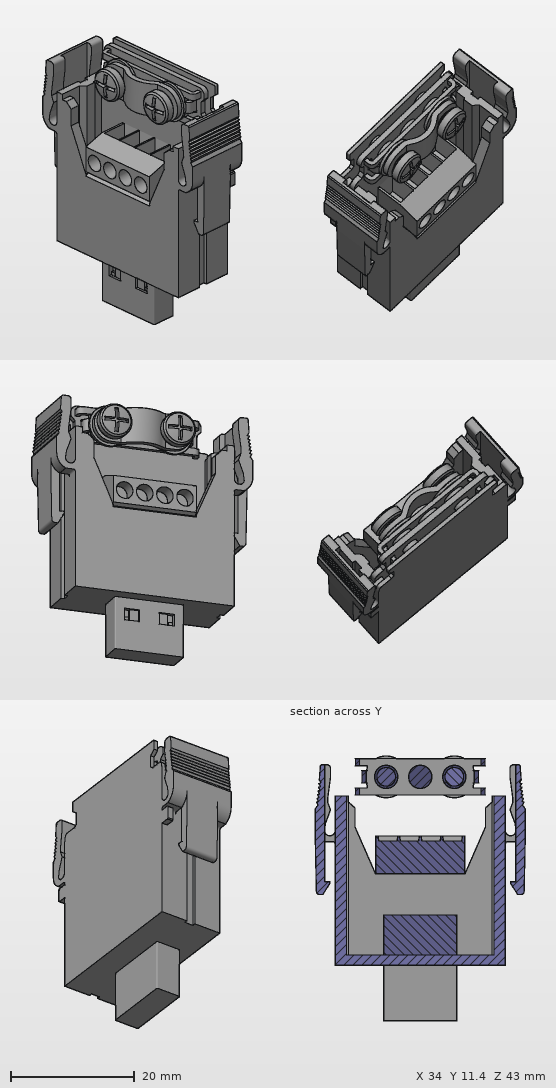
import cadquery as cq
import math

TOTAL_HEIGHT = 43.05
TOTAL_WIDTH = 34.0
DEPTH = 11.4
HALF_DEPTH = DEPTH / 2
CUT_MARGIN = 0.45

HOUSING_WIDTH = 27.55
HOUSING_BASE = 8.95
HOUSING_TOP = 36.45
FLOOR_THICKNESS = 1.72
BACK_WALL = 0.7
FRONT_WALL = 1.75
HALF_HOUSING = HOUSING_WIDTH / 2
BACK_WALL_FACE = HALF_DEPTH - BACK_WALL
FRONT_WALL_FACE = -HALF_DEPTH + FRONT_WALL
FLOOR_TOP = HOUSING_BASE + FLOOR_THICKNESS
CAVITY_BACK_HALF = 11.93
CAVITY_REAR_HALF = 11.7
CAVITY_MIDDLE_HALF = 11.63
CAVITY_FRONT_HALF = 12.55
BOARD_GROOVE_BACK = 4.0
CAVITY_STEP_Y = 0.95
CAVITY_FLARE_Y = (-0.85, -1.7)
SIDE_GROOVE_WIDTH = 1.55
SIDE_GROOVE_DEPTH = 0.55

HEAD_HALF = 11.55
NECK_HALF = 10.55
HEAD_BASE = 41.25
NECK_TOP = 40.48
NECK_BASE = 38.32
SHOULDER_TOP = 37.95
NECK_SPREAD = 0.5
SHOULDER_TAPER = 0.25
SHOULDER_RADIUS = 0.5
HEAD_ROUNDING = 0.2

WINDOW_STEP_Z = 35.45
WINDOW_SHOULDER_Z = 34.45
WINDOW_WAIST_Z = 31.4
WINDOW_BASE = 23.75
LEDGE_DROP = 0.4
LEDGE_DEPTH = 0.6

LATCH_OUTER = TOTAL_WIDTH / 2
LATCH_TOP = 41.45
LATCH_GRIP_OUTER = 16.2
LATCH_GRIP_INNER = 14.5
GRIP_STRAIGHT_BASE = 39.4
LATCH_TIP_RADIUS = 0.6
LATCH_TIP_CHAMFER = 0.2
TOOTH_COUNT = 7
TOOTH_PITCH = 0.6
TOOTH_HEIGHT = 0.47
FIRST_TOOTH_TIP = 39.0
FIRST_TIP_OUT = 16.35
FIRST_ROOT_OUT = 16.05
TIP_SHIFT = 0.075
ROOT_SHIFT = 0.1
TEETH_BASE = 34.3
WAIST_INNER = 14.95
WAIST_TOP = 36.15
WAIST_BASE = 35.3
BULGE_Z = 34.15
ARM_UPPER = 29.95
ARM_LOWER = 29.0
ARM_BEND_TOP = 31.4
ARM_BEND_MIDDLE = (16.55, 29.9)
ARM_FILLET = 0.4
THROAT_INNER = 14.6
THROAT_OUTER = 15.5
THROAT_SIDE_TOP = 30.75
THROAT_FLARE = (15.35, 31.95)
TONGUE_WIDTH = 6.03
TONGUE_INNER = 15.45
HOOK_INNER = 14.65
HOOK_TOP = 22.5
HOOK_BASE = 20.4
HOOK_LIP = 0.3
TONGUE_TIP_OUTER = 16.85
TONGUE_TIP_INNER = 15.75
TONGUE_TIP_RADIUS = 0.55
STUD_DEPTH = 1.05
STUD_BASE = 25.92
STUD_HEIGHT = 2.5
STUD_ROUNDING = 0.17

BOARD_FRONT = 2.8
BOARD_THICKNESS = 0.95
BOARD_BACK = BOARD_FRONT + BOARD_THICKNESS
BOARD_HALF = 12.9
BOARD_GROOVE_HALF = 13.35
BOARD_HEAD_HALF = 11.3
BOARD_SHOULDER_TOP = 37.65
BOARD_CORNER = 1.1
BOARD_SLOT_HEIGHT = 2.8
BOARD_SLOT_OUTER = 9.55
BOARD_SLOT_INNER = 8.6
BOARD_SLOT_ROUNDING = 0.35

BLOCK_WIDTH = 14.43
BLOCK_TOP = 29.93
BLOCK_FRONT_TOP = 28.75
BLOCK_FRONT_BASE = 24.2
BLOCK_SLOPE_START = -2.05
POLE_COUNT = 4
POLE_PITCH = 3.5
POLE_HEIGHT = 26.5
WIRE_HOLE_RADIUS = 1.4
WIRE_HOLE_DEPTH = 2.6
CELL_WIDTH = 3.2
CELL_DEPTH = 3.88
CELL_TAPER = 9.5
CELL_FRONT = -1.8

PLUG_WIDTH = 11.9
PLUG_FRONT = -3.27
PLUG_BACK = 1.2
PLUG_ROUNDING = 0.17
PLUG_ROOT_HEIGHT = 6.45
PLUG_WINDOW_INNER = 1.72
PLUG_WINDOW_STEP = 3.3
PLUG_WINDOW_OUTER = 4.3
PLUG_WINDOW_BASE = 5.15
PLUG_WINDOW_HEIGHT = 2.0
PLUG_SHALLOW = 0.45
PLUG_DEEP = 0.85
PLUG_STOP_HEIGHT = 0.65
PLUG_STOP_INNER = 3.45
PLUG_STOP_OUTER = 4.18

CLAMP_Z = 39.5
CLAMP_HEIGHT = 5.9
CLAMP_HALF_HEIGHT = CLAMP_HEIGHT / 2
SCREW_X = 5.5
BRACKET_FRONT = 1.05
BRACKET_BACK = 1.75
SHEET = BRACKET_BACK - BRACKET_FRONT
BRACKET_HALF = 10.55
BRACKET_BEND = 0.95
LEG_HEIGHT = 1.15
TAB_HALF_WIDTH = 9.47
TAB_HEIGHT = 2.02
TAB_BACK = 4.3
COLLAR_RADIUS = 1.9
RING_RADIUS = 3.4
STRAP_BACK = 0.5
STRAP_FRONT = -0.45
STRAP_THICKNESS = STRAP_BACK - STRAP_FRONT
ARCH_FRONT = -1.9
ARCH_RADIUS = 5.12
ARCH_HALF = 3.25
ARCH_INNER_HALF = 2.65
ARCH_FLAT_START = 3.85
ARCH_INNER_FLAT_START = 3.45

SHANK_RADIUS = 1.45
HEAD_RADIUS = 2.8
HEAD_BACK = -0.95
HEAD_FRONT = -2.75
HEAD_CHAMFER = 0.3
DOME_HEIGHT = 0.3
CROSS_LENGTH = 4.05
CROSS_WIDTH = 0.6
CROSS_DEPTH = 0.85


def box(x0, x1, y0, y1, z0, z1):
    """Block between two opposite corners."""
    return cq.Workplane("XY").box(x1 - x0, y1 - y0, z1 - z0, centered=False).translate((x0, y0, z0))


def along_y(sketch, front, back):
    """Extrude an XZ outline from the plane Y = front to Y = back."""
    return sketch.extrude(-(back - front)).translate((0, front, 0))


def rod(x, z, radius, front, back):
    """Round bar along Y."""
    return along_y(cq.Workplane("XZ").center(x, z).circle(radius), front, back)


def mirrored_outline(right_side):
    """Closed outline from its right half, listed from top to bottom."""
    left_side = [(-x, y) for x, y in reversed(right_side)]
    return right_side + left_side


def round_corners(plate, x, z, radius):
    """Fillet the plate edges along Y that pass through (x, z) and (-x, z)."""
    reach = 0.05
    for side_x in (-x, x):
        corner = cq.selectors.BoxSelector(
            (side_x - reach, -DEPTH, z - reach), (side_x + reach, DEPTH, z + reach)
        )
        plate = plate.edges("|Y").edges(corner).fillet(radius)
    return plate


def both_sides(left_shape):
    """A shape together with its mirror image across X = 0."""
    return left_shape.union(left_shape.mirror("YZ"))


def back_wall():
    outline = mirrored_outline([
        (HEAD_HALF, TOTAL_HEIGHT),
        (HEAD_HALF, HEAD_BASE),
        (NECK_HALF, NECK_TOP),
        (NECK_HALF, NECK_BASE),
        (NECK_HALF + NECK_SPREAD, SHOULDER_TOP),
        (HALF_HOUSING - SHOULDER_TAPER, SHOULDER_TOP),
        (HALF_HOUSING, HOUSING_TOP),
        (HALF_HOUSING, HOUSING_BASE),
    ])
    wall = along_y(cq.Workplane("XZ").polyline(outline).close(), BACK_WALL_FACE, HALF_DEPTH)
    wall = round_corners(wall, HALF_HOUSING - SHOULDER_TAPER, SHOULDER_TOP, SHOULDER_RADIUS)
    return round_corners(wall, HEAD_HALF, TOTAL_HEIGHT, HEAD_ROUNDING)


def housing_cavity():
    outline = mirrored_outline([
        (CAVITY_REAR_HALF, BACK_WALL_FACE),
        (CAVITY_REAR_HALF, BOARD_FRONT),
        (CAVITY_BACK_HALF, BOARD_FRONT),
        (CAVITY_BACK_HALF, CAVITY_STEP_Y),
        (CAVITY_MIDDLE_HALF, CAVITY_STEP_Y),
        (CAVITY_MIDDLE_HALF, CAVITY_FLARE_Y[0]),
        (CAVITY_FRONT_HALF, CAVITY_FLARE_Y[1]),
        (CAVITY_FRONT_HALF, FRONT_WALL_FACE),
    ])
    height = HOUSING_TOP + CUT_MARGIN - FLOOR_TOP
    pocket = cq.Workplane("XY").workplane(offset=FLOOR_TOP).polyline(outline).close().extrude(height)
    board_groove = box(
        -BOARD_GROOVE_HALF, BOARD_GROOVE_HALF, BOARD_FRONT, BOARD_GROOVE_BACK, FLOOR_TOP, FLOOR_TOP + height
    )
    return pocket.union(board_groove)


def front_window():
    half_base = BLOCK_WIDTH / 2
    outline = mirrored_outline([
        (CAVITY_FRONT_HALF, HOUSING_TOP + CUT_MARGIN),
        (CAVITY_FRONT_HALF, WINDOW_STEP_Z),
        (CAVITY_MIDDLE_HALF, WINDOW_STEP_Z),
        (NECK_HALF, WINDOW_SHOULDER_Z),
        (NECK_HALF, WINDOW_WAIST_Z),
        (half_base, WINDOW_BASE),
    ])
    opening = along_y(
        cq.Workplane("XZ").polyline(outline).close(), -HALF_DEPTH - CUT_MARGIN, FRONT_WALL_FACE
    )
    sloped_ledge = (
        cq.Workplane("YZ")
        .polyline([
            (-HALF_DEPTH, WINDOW_BASE - LEDGE_DROP),
            (-HALF_DEPTH, WINDOW_BASE),
            (-HALF_DEPTH + LEDGE_DEPTH, WINDOW_BASE),
        ])
        .close()
        .extrude(half_base, both=True)
    )
    return opening.union(sloped_ledge)


def latch_grip():
    """Full-depth upper part of the left latch, joined to the housing by a bent arm."""
    teeth = []
    for i in range(TOOTH_COUNT):
        tip_z = FIRST_TOOTH_TIP - i * TOOTH_PITCH
        teeth.append((-FIRST_TIP_OUT - i * TIP_SHIFT, tip_z))
        teeth.append((-FIRST_ROOT_OUT - i * ROOT_SHIFT, tip_z - TOOTH_HEIGHT))
    bend_x, bend_z = ARM_BEND_MIDDLE
    flare_x, flare_z = THROAT_FLARE
    tip_centre_x = -LATCH_GRIP_INNER - LATCH_TIP_RADIUS
    tip_centre_z = LATCH_TOP - LATCH_TIP_RADIUS
    tip_diagonal = LATCH_TIP_RADIUS * math.sqrt(0.5)
    outline = (
        cq.Workplane("XZ")
        .moveTo(-LATCH_GRIP_OUTER + LATCH_TIP_CHAMFER, LATCH_TOP)
        .lineTo(-LATCH_GRIP_OUTER, LATCH_TOP - LATCH_TIP_CHAMFER)
        .polyline(teeth, includeCurrent=True)
        .lineTo(-LATCH_OUTER, TEETH_BASE)
        .lineTo(-LATCH_OUTER, ARM_BEND_TOP)
        .threePointArc((-bend_x, bend_z), (-TONGUE_INNER, ARM_LOWER))
        .lineTo(-HALF_HOUSING - ARM_FILLET, ARM_LOWER)
        .radiusArc((-HALF_HOUSING, ARM_LOWER - ARM_FILLET), ARM_FILLET)
        .lineTo(-HALF_HOUSING, THROAT_SIDE_TOP)
        .threePointArc((-THROAT_INNER, ARM_UPPER), (-THROAT_OUTER, THROAT_SIDE_TOP))
        .lineTo(-flare_x, flare_z)
        .lineTo(-LATCH_GRIP_INNER, BULGE_Z)
        .lineTo(-WAIST_INNER, WAIST_BASE)
        .lineTo(-WAIST_INNER, WAIST_TOP)
        .lineTo(-LATCH_GRIP_INNER, GRIP_STRAIGHT_BASE)
        .lineTo(-LATCH_GRIP_INNER, tip_centre_z)
        .threePointArc((tip_centre_x + tip_diagonal, tip_centre_z + tip_diagonal), (tip_centre_x, LATCH_TOP))
        .close()
    )
    grip = along_y(outline, -HALF_DEPTH, HALF_DEPTH)
    middle_gap = box(
        -TONGUE_INNER, -HALF_HOUSING, -TONGUE_WIDTH / 2, TONGUE_WIDTH / 2,
        ARM_LOWER - ARM_FILLET, LATCH_TOP,
    )
    return grip.cut(middle_gap)


def latch_tongue():
    """Narrow hooked spring below the grip of the left latch."""
    outline = (
        cq.Workplane("XZ")
        .moveTo(-TONGUE_INNER, ARM_BEND_TOP)
        .lineTo(-LATCH_OUTER, ARM_BEND_TOP)
        .lineTo(-LATCH_OUTER, ARM_LOWER)
        .lineTo(-TONGUE_TIP_OUTER, HOOK_BASE + TONGUE_TIP_RADIUS)
        .radiusArc((-TONGUE_TIP_OUTER + TONGUE_TIP_RADIUS, HOOK_BASE), -TONGUE_TIP_RADIUS)
        .lineTo(-TONGUE_TIP_INNER, HOOK_BASE)
        .lineTo(-HOOK_INNER, HOOK_TOP - HOOK_LIP)
        .lineTo(-HOOK_INNER, HOOK_TOP)
        .lineTo(-TONGUE_INNER, HOOK_TOP)
        .close()
    )
    return along_y(outline, -TONGUE_WIDTH / 2, TONGUE_WIDTH / 2)


def side_stud():
    stud = box(
        -TONGUE_INNER, -HALF_HOUSING, HALF_DEPTH - STUD_DEPTH, HALF_DEPTH, STUD_BASE, STUD_BASE + STUD_HEIGHT
    )
    return stud.edges("|Y and <X").chamfer(STUD_ROUNDING)


def make_housing():
    shell = box(-HALF_HOUSING, HALF_HOUSING, -HALF_DEPTH, HALF_DEPTH, HOUSING_BASE, HOUSING_TOP)
    shell = shell.cut(housing_cavity()).union(back_wall()).cut(front_window())
    half_groove = SIDE_GROOVE_WIDTH / 2
    side_groove = box(
        -HALF_HOUSING, -HALF_HOUSING + SIDE_GROOVE_DEPTH, -half_groove, half_groove, HOUSING_BASE, HOUSING_TOP
    )
    plug_opening = plug_bar(HOUSING_BASE, FLOOR_TOP)
    latch = latch_grip().union(latch_tongue()).union(side_stud())
    return shell.cut(both_sides(side_groove)).cut(plug_opening).union(both_sides(latch))


def board_plate():
    outline = mirrored_outline([
        (BOARD_HEAD_HALF, TOTAL_HEIGHT),
        (BOARD_HEAD_HALF, HEAD_BASE),
        (NECK_HALF, NECK_TOP),
        (NECK_HALF, NECK_BASE),
        (NECK_HALF + NECK_SPREAD, BOARD_SHOULDER_TOP),
        (BOARD_HALF, BOARD_SHOULDER_TOP),
        (BOARD_HALF, FLOOR_TOP),
    ])
    plate = along_y(cq.Workplane("XZ").polyline(outline).close(), BOARD_FRONT, BOARD_BACK)
    plate = round_corners(plate, BOARD_HEAD_HALF, TOTAL_HEIGHT, BOARD_CORNER)
    plate = round_corners(plate, BOARD_HALF, BOARD_SHOULDER_TOP, BOARD_CORNER)
    slot = box(
        -BOARD_SLOT_OUTER, -BOARD_SLOT_INNER, BOARD_FRONT, BOARD_BACK,
        CLAMP_Z - BOARD_SLOT_HEIGHT / 2, CLAMP_Z + BOARD_SLOT_HEIGHT / 2,
    ).edges("|Y").fillet(BOARD_SLOT_ROUNDING)
    screw_hole = rod(-SCREW_X, CLAMP_Z, SHANK_RADIUS, BOARD_FRONT, BOARD_BACK)
    return plate.cut(both_sides(slot)).cut(both_sides(screw_hole))


def terminal_block():
    profile = [
        (BOARD_FRONT, BLOCK_TOP),
        (BLOCK_SLOPE_START, BLOCK_TOP),
        (-HALF_DEPTH, BLOCK_FRONT_TOP),
        (-HALF_DEPTH, BLOCK_FRONT_BASE),
        (-HALF_DEPTH + LEDGE_DEPTH, WINDOW_BASE),
        (BOARD_FRONT, WINDOW_BASE),
    ]
    block = cq.Workplane("YZ").polyline(profile).close().extrude(BLOCK_WIDTH / 2, both=True)
    cell_length = BOARD_FRONT - CELL_FRONT
    for i in range(POLE_COUNT):
        pole_x = (i - (POLE_COUNT - 1) / 2) * POLE_PITCH
        cell = (
            cq.Workplane("XY")
            .workplane(offset=BLOCK_TOP)
            .center(pole_x, CELL_FRONT + cell_length / 2)
            .rect(CELL_WIDTH, cell_length)
            .extrude(-CELL_DEPTH, taper=CELL_TAPER)
        )
        wire_hole = rod(pole_x, POLE_HEIGHT, WIRE_HOLE_RADIUS, -HALF_DEPTH, -HALF_DEPTH + WIRE_HOLE_DEPTH)
        block = block.cut(cell).cut(wire_hole)
    return block


def plug_bar(base, top):
    half = PLUG_WIDTH / 2
    return box(-half, half, PLUG_FRONT, PLUG_BACK, base, top).edges("|Z").fillet(PLUG_ROUNDING)


def plug_window():
    """Stepped contact window in the left half of the plug front."""
    top = PLUG_WINDOW_BASE + PLUG_WINDOW_HEIGHT
    shallow = box(
        -PLUG_WINDOW_OUTER, -PLUG_WINDOW_INNER, PLUG_FRONT, PLUG_FRONT + PLUG_SHALLOW, PLUG_WINDOW_BASE, top
    )
    deep = box(
        -PLUG_WINDOW_OUTER, -PLUG_WINDOW_STEP, PLUG_FRONT, PLUG_FRONT + PLUG_DEEP, PLUG_WINDOW_BASE, top
    )
    stop = box(
        -PLUG_STOP_OUTER, -PLUG_STOP_INNER,
        PLUG_FRONT + PLUG_SHALLOW, PLUG_FRONT + PLUG_DEEP,
        PLUG_WINDOW_BASE, PLUG_WINDOW_BASE + PLUG_STOP_HEIGHT,
    )
    return shallow.union(deep).cut(stop)


def make_board():
    half = PLUG_WIDTH / 2
    plug = plug_bar(0, FLOOR_TOP).cut(both_sides(plug_window()))
    plug_root = box(-half, half, PLUG_FRONT, BOARD_FRONT, FLOOR_TOP, FLOOR_TOP + PLUG_ROOT_HEIGHT)
    return board_plate().union(terminal_block()).union(plug_root).union(plug)


def folded_sheet(half_width, back, height):
    """Sheet bridge with both ends folded back, centred on the clamp height."""
    outer = box(
        -half_width, half_width, BRACKET_FRONT, back, CLAMP_Z - height / 2, CLAMP_Z + height / 2
    ).edges("|Z and <Y").fillet(BRACKET_BEND)
    inner_half = half_width - SHEET
    inner = box(
        -inner_half, inner_half, BRACKET_BACK, back, CLAMP_Z - height / 2, CLAMP_Z + height / 2
    ).edges("|Z and <Y").fillet(BRACKET_BEND - SHEET)
    return outer.cut(inner)


def clamp_bracket():
    legs = folded_sheet(BRACKET_HALF, BOARD_FRONT, CLAMP_HEIGHT)
    gap_half = CLAMP_HALF_HEIGHT - LEG_HEIGHT
    gap = box(
        -BRACKET_HALF, -BOARD_SLOT_INNER, BRACKET_FRONT, BOARD_FRONT, CLAMP_Z - gap_half, CLAMP_Z + gap_half
    )
    bracket = legs.cut(both_sides(gap)).union(folded_sheet(TAB_HALF_WIDTH, TAB_BACK, TAB_HEIGHT))
    for x in (-SCREW_X, 0, SCREW_X):
        bracket = bracket.union(rod(x, CLAMP_Z, COLLAR_RADIUS, BRACKET_BACK, BOARD_FRONT))
    return bracket


def clamp_strap():
    centre_y = ARCH_FRONT + ARCH_RADIUS
    inner_radius = ARCH_RADIUS - STRAP_THICKNESS
    outer_end_y = centre_y - math.sqrt(ARCH_RADIUS**2 - ARCH_HALF**2)
    inner_end_y = centre_y - math.sqrt(inner_radius**2 - ARCH_INNER_HALF**2)
    end_x = SCREW_X + CLAMP_HALF_HEIGHT
    bar = (
        cq.Workplane("XY")
        .workplane(offset=CLAMP_Z - CLAMP_HALF_HEIGHT)
        .moveTo(-end_x, STRAP_FRONT)
        .lineTo(-ARCH_FLAT_START, STRAP_FRONT)
        .lineTo(-ARCH_HALF, outer_end_y)
        .threePointArc((0, ARCH_FRONT), (ARCH_HALF, outer_end_y))
        .lineTo(ARCH_FLAT_START, STRAP_FRONT)
        .lineTo(end_x, STRAP_FRONT)
        .lineTo(end_x, STRAP_BACK)
        .lineTo(ARCH_INNER_FLAT_START, STRAP_BACK)
        .lineTo(ARCH_INNER_HALF, inner_end_y)
        .threePointArc((0, ARCH_FRONT + STRAP_THICKNESS), (-ARCH_INNER_HALF, inner_end_y))
        .lineTo(-ARCH_INNER_FLAT_START, STRAP_BACK)
        .lineTo(-end_x, STRAP_BACK)
        .close()
        .extrude(CLAMP_HEIGHT)
    )
    rounded_ends = along_y(
        cq.Workplane("XZ").center(0, CLAMP_Z).slot2D(2 * end_x, CLAMP_HEIGHT), ARCH_FRONT, STRAP_BACK
    )
    return bar.intersect(rounded_ends)


def make_clamp():
    ring = rod(-SCREW_X, CLAMP_Z, RING_RADIUS, STRAP_BACK, BRACKET_FRONT)
    screw_hole = rod(-SCREW_X, CLAMP_Z, SHANK_RADIUS, STRAP_FRONT, BOARD_FRONT)
    return clamp_bracket().union(clamp_strap()).union(both_sides(ring)).cut(both_sides(screw_hole))


def make_screw(x):
    dome_edge = HEAD_RADIUS - HEAD_CHAMFER
    dome_radius = (dome_edge**2 + DOME_HEIGHT**2) / (2 * DOME_HEIGHT)
    half_profile = (
        cq.Workplane("XY")
        .moveTo(0, BACK_WALL_FACE)
        .lineTo(SHANK_RADIUS, BACK_WALL_FACE)
        .lineTo(SHANK_RADIUS, HEAD_BACK)
        .lineTo(dome_edge, HEAD_BACK)
        .lineTo(HEAD_RADIUS, HEAD_BACK - HEAD_CHAMFER)
        .lineTo(HEAD_RADIUS, HEAD_FRONT + HEAD_CHAMFER)
        .lineTo(dome_edge, HEAD_FRONT)
        .radiusArc((0, HEAD_FRONT - DOME_HEIGHT), dome_radius)
        .close()
    )
    screw = half_profile.revolve(360, (0, 0, 0), (0, 1, 0))
    slot_front = HEAD_FRONT - DOME_HEIGHT
    for length, height in ((CROSS_LENGTH, CROSS_WIDTH), (CROSS_WIDTH, CROSS_LENGTH)):
        arm = along_y(cq.Workplane("XZ").rect(length, height), slot_front, slot_front + CROSS_DEPTH)
        screw = screw.cut(arm)
    return screw.translate((x, 0, CLAMP_Z))


housing = make_housing()
board = make_board()
clamp = make_clamp()
screws = [make_screw(x) for x in (-SCREW_X, SCREW_X)]

result = cq.Compound.makeCompound([
    *housing.solids().vals(),
    *board.solids().vals(),
    *clamp.solids().vals(),
    *[screw.solids().val() for screw in screws],
])